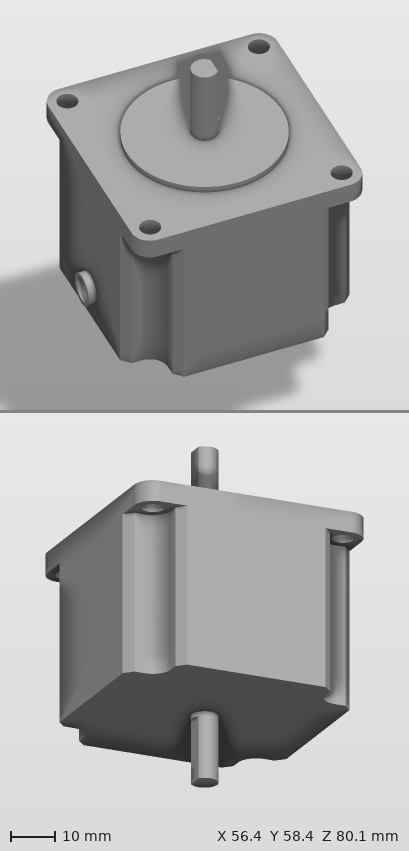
import cadquery as cq


width = 56.4
half_width = width / 2
rear_cap_height = 14.0
stator_height = 20.5
housing_height = 43.4
flange_thickness = 5.0
stator_top = rear_cap_height + stator_height
flange_underside = housing_height - flange_thickness

corner_radius = 4.5
hole_diameter = 5.0
hole_spacing = 47.14

groove_radius = 4.5
relief_depth = corner_radius + groove_radius
relief_chamfer = 2.0
relief_reach = relief_depth + relief_chamfer

pilot_diameter = 38.1
pilot_height = 1.6

shaft_diameter = 6.35
front_shaft_length = 20.6
rear_shaft_length = 16.1
flat_length = 15.0
flat_distance = 2.4

outlet_diameter = 8.0
outlet_bore = 6.0
outlet_length = 2.0
outlet_height = 8.0


def square_block(bottom, top):
    """Full-width square block between two heights."""
    return cq.Workplane("XY").workplane(offset=bottom).rect(width, width).extrude(top - bottom)


def corner_reliefs(bottom, top):
    """Four grooved notches that clear the mounting screws at the block corners."""
    side = -half_width
    notch = (
        cq.Workplane("XY")
        .workplane(offset=bottom)
        .moveTo(side, side)
        .lineTo(side + relief_reach, side)
        .lineTo(side + relief_depth, side + relief_chamfer)
        .lineTo(side + relief_depth, side + corner_radius)
        .radiusArc((side + corner_radius, side + relief_depth), -groove_radius)
        .lineTo(side + relief_chamfer, side + relief_depth)
        .lineTo(side, side + relief_reach)
        .close()
        .extrude(top - bottom)
    )
    notches = notch
    for quarter_turn in range(1, 4):
        notches = notches.union(notch.rotate((0, 0, 0), (0, 0, 1), 90 * quarter_turn))
    return notches


def shaft_stub(bottom, top):
    """Round shaft between two heights."""
    return cq.Workplane("XY").workplane(offset=bottom).circle(shaft_diameter / 2).extrude(top - bottom)


def shaft_flat(bottom):
    """Block that cuts the flat on the +Y side of a shaft end."""
    return (
        cq.Workplane("XY")
        .box(shaft_diameter, shaft_diameter, flat_length, centered=(True, False, False))
        .translate((0, flat_distance, bottom))
    )


def make_front_cap():
    """Flange, pilot disc and front shaft stub."""
    flange = square_block(flange_underside, housing_height).edges("|Z").fillet(corner_radius)
    base = square_block(stator_top, flange_underside).cut(corner_reliefs(stator_top, flange_underside))
    pilot = (
        cq.Workplane("XY")
        .workplane(offset=housing_height)
        .circle(pilot_diameter / 2)
        .extrude(pilot_height)
    )
    mounting_holes = (
        cq.Workplane("XY")
        .workplane(offset=flange_underside)
        .rect(hole_spacing, hole_spacing, forConstruction=True)
        .vertices()
        .circle(hole_diameter / 2)
        .extrude(flange_thickness)
    )
    shaft_top = housing_height + front_shaft_length
    shaft = shaft_stub(housing_height, shaft_top).cut(shaft_flat(shaft_top - flat_length))
    return base.union(flange).cut(mounting_holes).union(pilot).union(shaft)


def make_stator():
    """Middle section of the housing."""
    return square_block(rear_cap_height, stator_top).cut(corner_reliefs(rear_cap_height, stator_top))


def make_rear_cap():
    """Rear section with the cable outlet and the rear shaft stub."""
    block = square_block(0, rear_cap_height).cut(corner_reliefs(0, rear_cap_height))
    outlet_plane = cq.Workplane("XZ", origin=(0, -half_width, outlet_height))
    outlet = outlet_plane.circle(outlet_diameter / 2).extrude(outlet_length)
    bore = (
        outlet_plane.workplane(offset=outlet_length)
        .circle(outlet_bore / 2)
        .extrude(-outlet_length)
    )
    shaft = shaft_stub(-rear_shaft_length, 0).cut(shaft_flat(-rear_shaft_length))
    return block.union(outlet).cut(bore).union(shaft)


front_cap = make_front_cap()
stator = make_stator()
rear_cap = make_rear_cap()

result = cq.Compound.makeCompound([front_cap.val(), stator.val(), rear_cap.val()])